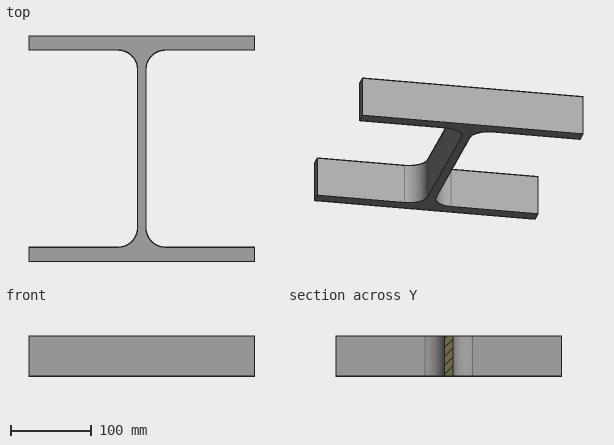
import cadquery as cq

flange_width = 280.0
section_depth = 280.0
length = 50.0
flange_thickness = 18.0
web_thickness = 10.5
root_radius = 24.0

web_depth = section_depth - 2 * flange_thickness
flange_offset = (section_depth - flange_thickness) / 2


def flange(side):
    """Flange plate on the +Y (side = 1) or -Y (side = -1) end of the web."""
    plate = cq.Workplane("XY").box(flange_width, flange_thickness, length)
    return plate.translate((0, side * flange_offset, 0))


web = cq.Workplane("XY").box(web_thickness, section_depth, length)
beam = web.union(flange(1)).union(flange(-1))

root_edges = cq.selectors.BoxSelector(
    (-web_thickness, -web_depth / 2 - web_thickness, -length),
    (web_thickness, web_depth / 2 + web_thickness, length),
)
result = beam.edges("|Z").edges(root_edges).fillet(root_radius)